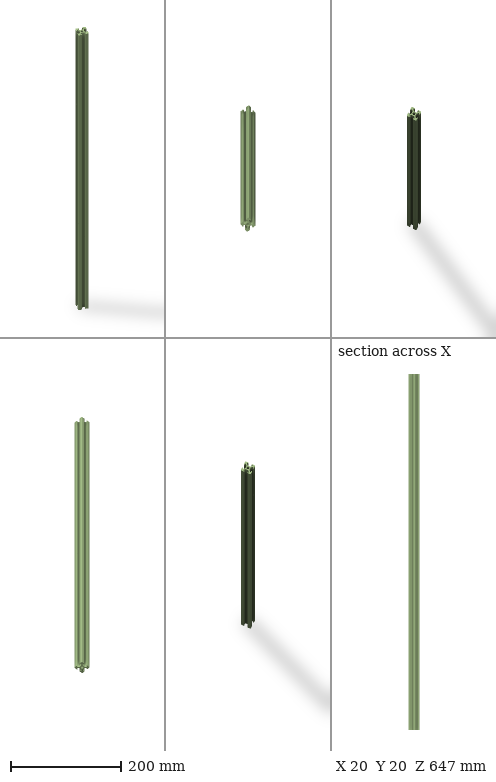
import cadquery as cq
import math

side = 20.0
length = 647.0
corner_radius = 1.5
bore_diameter = 5.0

slot_opening = 6.0
slot_depth = 5.8
chamber_width = 10.8
lip_thickness = 1.8
lip_radius = 1.2
floor_radius = 2.0

web_thickness = 2.2

face_y = side / 2
lip_y = face_y - lip_thickness
floor_y = face_y - slot_depth
half_opening = slot_opening / 2
half_chamber = chamber_width / 2
web_offset = web_thickness / math.sqrt(2)
half_floor = floor_y - web_offset
flank_end_y = half_chamber + web_offset

pick_margin = 0.01


def upright_edges_at(x, y):
    """Selector for the edge parallel to Z that passes through (x, y)."""
    return cq.selectors.BoxSelector(
        (x - pick_margin, y - pick_margin, -pick_margin),
        (x + pick_margin, y + pick_margin, length + pick_margin),
    )


def slot_cutter():
    """T-slot towards +Y: flat floor, flanks along the webs, chamber, and flared opening."""
    arc_end_x = half_opening + lip_radius
    arc_start_y = face_y - lip_radius
    arc_mid = lip_radius * (1 - math.sqrt(0.5))
    cutter = (
        cq.Workplane("XY")
        .moveTo(-half_floor, floor_y)
        .lineTo(half_floor, floor_y)
        .lineTo(half_chamber, flank_end_y)
        .lineTo(half_chamber, lip_y)
        .lineTo(half_opening, lip_y)
        .lineTo(half_opening, arc_start_y)
        .threePointArc((half_opening + arc_mid, face_y - arc_mid), (arc_end_x, face_y))
        .lineTo(-arc_end_x, face_y)
        .threePointArc((-half_opening - arc_mid, face_y - arc_mid), (-half_opening, arc_start_y))
        .lineTo(-half_opening, lip_y)
        .lineTo(-half_chamber, lip_y)
        .lineTo(-half_chamber, flank_end_y)
        .close()
        .extrude(length)
    )
    for x in (-half_floor, half_floor):
        cutter = cutter.edges(upright_edges_at(x, floor_y)).fillet(floor_radius)
    return cutter


def bored_bar():
    """Square bar with rounded long edges and a central through bore."""
    bar = cq.Workplane("XY").rect(side, side).extrude(length)
    bar = bar.edges("|Z").fillet(corner_radius)
    return bar.faces(">Z").workplane().hole(bore_diameter)


result = bored_bar()
slot = slot_cutter()
for quarter_turn in range(4):
    result = result.cut(slot.rotate((0, 0, 0), (0, 0, 1), 90 * quarter_turn))